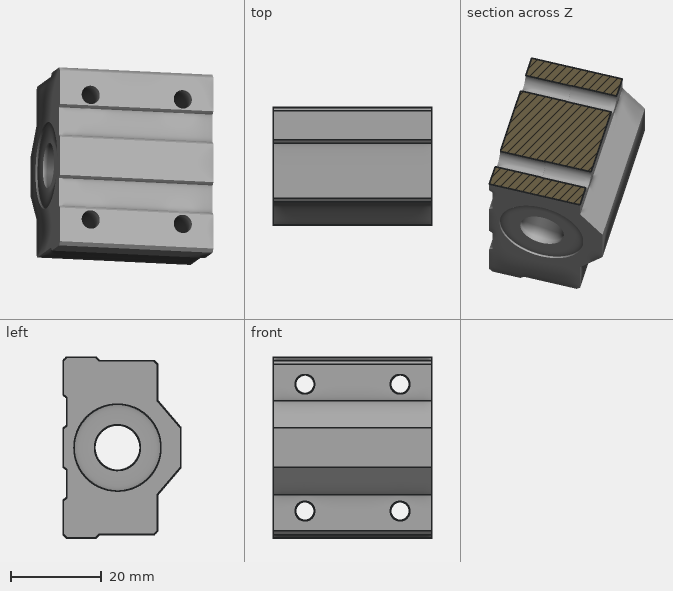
import cadquery as cq

length = 35.0
height = 40.0
axis_to_back = 12.0
body_depth = 20.9
total_depth = 26.0

edge_chamfer = 0.8
side_step = 0.8
flange_depth = 8.0
nose_base_width = 20.7
nose_tip_width = 8.7
groove_depth = 0.8
groove_inner = 4.3
groove_outer = 11.65
groove_wall_run = 0.6

bore_diameter = 10.0
recess_diameter = 19.2
recess_depth = 0.5

hole_diameter = 4.1
front_hole_diameter = 4.3
hole_spacing_x = 21.0
hole_spacing_z = 28.0

back = axis_to_back
front = back - total_depth
shoulder = back - body_depth
front_hole_depth = body_depth / 2


def make_body():
    """Extrude the symmetric (Y, Z) side profile along X, centred on the origin."""
    top = height / 2
    body_top = top - side_step
    groove_floor = back - groove_depth
    flange_front = back - flange_depth
    upper_half = [
        (front, nose_tip_width / 2),
        (shoulder, nose_base_width / 2),
        (shoulder, body_top - edge_chamfer),
        (shoulder + edge_chamfer, body_top),
        (flange_front, body_top),
        (flange_front + side_step, top),
        (back - edge_chamfer, top),
        (back, top - edge_chamfer),
        (back, groove_outer),
        (groove_floor, groove_outer - groove_wall_run),
        (groove_floor, groove_inner + groove_wall_run),
        (back, groove_inner),
    ]
    lower_half = [(y, -z) for y, z in reversed(upper_half)]
    profile = cq.Workplane("YZ").polyline(upper_half + lower_half).close()
    return profile.extrude(length / 2, both=True)


def cut_shaft_bore(body):
    """Bore along X, with a shallow recess at each end."""
    for end in (">X", "<X"):
        body = (
            body.faces(end)
            .workplane(origin=(0, 0, 0))
            .cboreHole(bore_diameter, recess_diameter, recess_depth)
        )
    return body


def hole_pattern(diameter, start, depth):
    """Four cylinders running forward along Y, starting at Y = start."""
    return (
        cq.Workplane("XZ", origin=(0, start, 0))
        .rarray(hole_spacing_x, hole_spacing_z, 2, 2)
        .circle(diameter / 2)
        .extrude(depth)
    )


def cut_mounting_holes(body):
    """Four through holes along Y, slightly wider in the front half of the body."""
    through_holes = hole_pattern(hole_diameter, back, body_depth)
    front_holes = hole_pattern(front_hole_diameter, shoulder + front_hole_depth, front_hole_depth)
    return body.cut(through_holes).cut(front_holes)


result = cut_mounting_holes(cut_shaft_bore(make_body()))